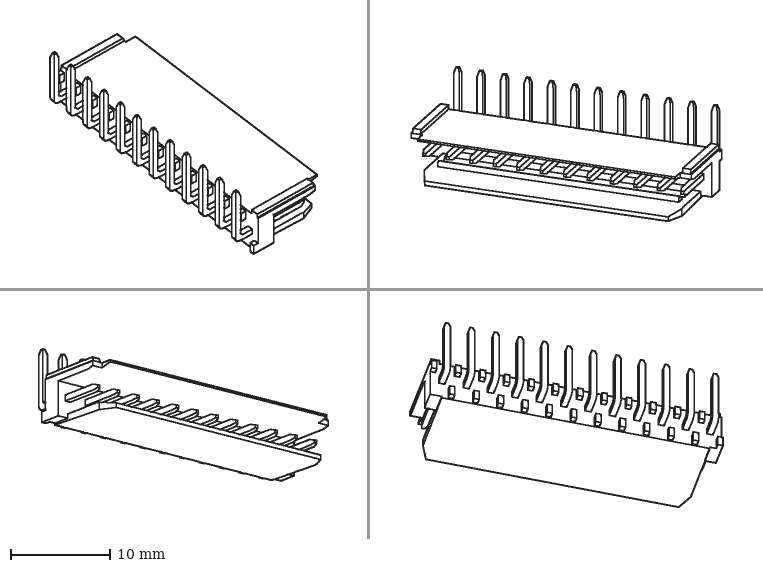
import cadquery as cq
import math

length = 30.4
pin_count = 12
outer_pin_place = 13.98

block_depth = 2.1
shelf_top = 4.45
shelf_bottom = 3.7
shelf_reach = 8.87

end_reach = 7.6
upper_taper_start = 6.85
upper_tip_thickness = 0.2

rail_top = 4.9
rail_outer_inset = 0.12
rail_width = 0.88
rail_end_lean = 0.2

lower_shelf_top = 0.45
lower_taper_start = 6.78
lower_side_taper_start = 7.1
lower_tip_top = 0.03
lower_tip_bottom = -0.45
block_keel_bottom = -0.18
lower_tip_side_taper = 0.8

ridge_half_width = 13.07
ridge_reach = 4.25
ridge_flat_reach = 3.75
ridge_top = 0.85
bump_end = 5.7
bump_radius = 0.25
bump_top = 1.0

tab_width = 0.55
tab_reach = 0.58
upper_tab_bottom = 3.13
upper_tab_top = 4.15
lower_tab_bottom = 0.0
lower_tab_top = 1.12

pin_size = 0.65
pin_bottom = 1.75
pin_tail_rear = -2.2
pin_front = 7.05
pin_top = 8.3
pin_taper = 0.58
pin_tip_size = 0.3
bend_outer_radius = 0.65
bend_inner_chamfer = 0.27

half_length = length / 2
pitch = 2 * outer_pin_place / (pin_count - 1)
tip_half_width = outer_pin_place
pin_places = [-outer_pin_place + i * pitch for i in range(pin_count)]
tab_offset = half_length - tab_width / 2 - outer_pin_place
tip_width = 2 * tip_half_width


def box(x_range, y_range, z_range):
    """Box spanning the given ranges."""
    sizes = [high - low for low, high in (x_range, y_range, z_range)]
    corner = (x_range[0], y_range[0], z_range[0])
    return cq.Workplane("XY").box(*sizes, centered=False).translate(corner)


def extrude_along_row(points, width):
    """Closed (Y, Z) outline extruded along X, centred on X=0."""
    return cq.Workplane("YZ").polyline(points).close().extrude(width / 2, both=True)


def make_block():
    """Upright block that carries the shelves and pins."""
    return box((-half_length, half_length), (0, block_depth), (0, shelf_top))


def make_upper_shelf():
    """Shelf tapered on its underside, with both front corners notched."""
    outline = [
        (0, shelf_top),
        (shelf_reach, shelf_top),
        (shelf_reach, shelf_top - upper_tip_thickness),
        (upper_taper_start, shelf_bottom),
        (0, shelf_bottom),
    ]
    shelf = extrude_along_row(outline, length)
    for side in (-1, 1):
        x_range = sorted((side * tip_half_width, side * half_length))
        shelf = shelf.cut(box(x_range, (end_reach, shelf_reach), (0, shelf_top)))
    return shelf


def make_rail(side):
    """Guide rail along one end of the upper shelf."""
    outline = [
        (0, shelf_top),
        (end_reach, shelf_top),
        (end_reach - rail_end_lean, rail_top),
        (0, rail_top),
    ]
    center = side * (half_length - rail_outer_inset - rail_width / 2)
    return extrude_along_row(outline, rail_width).translate((center, 0, 0))


def make_lower_shelf():
    """Narrower shelf with a sinking underside, tapered on top and at both sides of its tip."""
    outline = [
        (0, block_keel_bottom),
        (shelf_reach, lower_tip_bottom),
        (shelf_reach, lower_tip_top),
        (lower_taper_start, lower_shelf_top),
        (0, lower_shelf_top),
    ]
    plan = [
        (-tip_half_width, 0),
        (tip_half_width, 0),
        (tip_half_width, lower_side_taper_start),
        (tip_half_width - lower_tip_side_taper, shelf_reach),
        (-tip_half_width + lower_tip_side_taper, shelf_reach),
        (-tip_half_width, lower_side_taper_start),
    ]
    plan_prism = cq.Workplane("XY").polyline(plan).close().extrude(shelf_top, both=True)
    return extrude_along_row(outline, tip_width).intersect(plan_prism)


def make_ridge():
    """Raised strip on the lower shelf next to the block, sloped at its front."""
    outline = [
        (0, lower_shelf_top),
        (ridge_reach, lower_shelf_top),
        (ridge_flat_reach, ridge_top),
        (0, ridge_top),
    ]
    return extrude_along_row(outline, 2 * ridge_half_width)


def make_latch_bump():
    """Round-topped bump on the lower shelf: steep front, 45-degree back."""
    center_y = bump_end - bump_radius
    center_z = bump_top - bump_radius
    diagonal = bump_radius * math.sqrt(0.5)
    slope_top = (center_y - diagonal, center_z + diagonal)
    foot_y = slope_top[0] - (slope_top[1] - lower_shelf_top)
    return (
        cq.Workplane("YZ")
        .moveTo(foot_y, lower_shelf_top)
        .lineTo(bump_end, lower_shelf_top)
        .lineTo(bump_end, center_z)
        .threePointArc((center_y, bump_top), slope_top)
        .close()
        .extrude(ridge_half_width, both=True)
    )


def make_tab(center, bottom, top):
    """Small stand-off behind the block."""
    return box((center - tab_width / 2, center + tab_width / 2), (-tab_reach, 0), (bottom, top))


def make_tip(plane):
    """Pointed pin end growing from the plane's origin."""
    return (
        plane.rect(pin_size, pin_size)
        .workplane(offset=pin_taper)
        .rect(pin_tip_size, pin_tip_size)
        .loft(ruled=True)
    )


def make_pin():
    """Square pin: shank through the block, bent up into a leg, both ends pointed."""
    tail_front = pin_tail_rear + pin_size
    shank_top = pin_bottom + pin_size
    leg_end = pin_top - pin_taper
    shank_end = pin_front - pin_taper
    outline = [
        (pin_tail_rear, pin_bottom),
        (shank_end, pin_bottom),
        (shank_end, shank_top),
        (tail_front, shank_top),
        (tail_front, leg_end),
        (pin_tail_rear, leg_end),
    ]
    outer_corner = cq.selectors.NearestToPointSelector((0, pin_tail_rear, pin_bottom))
    inner_corner = cq.selectors.NearestToPointSelector((0, tail_front, shank_top))
    bent = extrude_along_row(outline, pin_size)
    bent = bent.edges("|X").edges(outer_corner).fillet(bend_outer_radius)
    bent = bent.edges("|X").edges(inner_corner).chamfer(bend_inner_chamfer)
    front = cq.Plane((0, shank_end, pin_bottom + pin_size / 2), xDir=(1, 0, 0), normal=(0, 1, 0))
    shank_tip = make_tip(cq.Workplane(front))
    leg_tip = make_tip(cq.Workplane("XY", origin=(0, pin_tail_rear + pin_size / 2, leg_end)))
    return bent.union(shank_tip).union(leg_tip)


result = make_block().union(make_upper_shelf()).union(make_lower_shelf())
result = result.union(make_ridge()).union(make_latch_bump())
for side in (-1, 1):
    result = result.union(make_rail(side))
pin = make_pin()
for place in pin_places:
    result = result.union(pin.translate((place, 0, 0)))
    result = result.union(make_tab(place - tab_offset, upper_tab_bottom, upper_tab_top))
    result = result.union(make_tab(place + tab_offset, lower_tab_bottom, lower_tab_top))